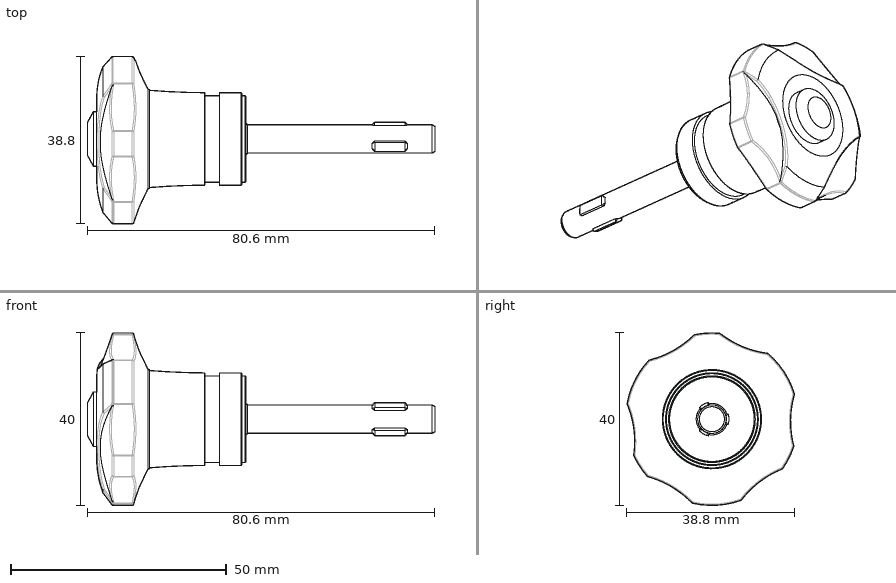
import cadquery as cq
import math


OVERALL_LENGTH = 80.6

DOME_START_X = 2.15

BUTTON_FLAT_RADIUS = 3.8
BUTTON_RADIUS = 6.35
BUTTON_CONE_LENGTH = 1.4
RECESS_RADIUS = 10.0
RECESS_DEPTH = 1.6
RECESS_FLOOR_X = DOME_START_X + RECESS_DEPTH

KNOB_RADIUS = 20.0
DOME_MID_X, DOME_MID_RADIUS = 2.7, 14.1
DOME_END_X, DOME_END_RADIUS = 3.6, 17.1
RIM_START_X = 5.8
RIM_END_X = 10.7
RIM_MIDDLE_X = (RIM_START_X + RIM_END_X) / 2
BACK_MID_X, BACK_MID_RADIUS = 12.2, 15.4
BACK_END_X = 14.1
BACK_END_RADIUS = 11.5
KNOB_EDGE_RADIUS = 0.4
RIM_ZONE_RADIUS = 17.9

LOBE_PAIRS = 3
GRIP_TURN = 3.3
WIDE_LOBE_HALF_ANGLE = 16.5
NARROW_LOBE_HALF_ANGLE = 8.5
SCALLOP_MID_RADIUS, SCALLOP_MID_ANGLE = 18.25, 26.0

DISH_WALL_REACH = 11.85
DISH_WALL_HALF_SPAN, DISH_WALL_END_REACH = 14.0, 14.9
DISH_INNER_X, DISH_INNER_RADIUS = 3.0, 12.0
DISH_MID_X, DISH_MID_RADIUS = 4.47, 16.0
DISH_RIM_X = 5.86

STEP_RING_LENGTH = 0.35
NECK_START_X = BACK_END_X + STEP_RING_LENGTH
NECK_START_RADIUS = 11.3
NECK_MID_RADIUS = 10.9
NECK_END_RADIUS = 10.75
NECK_END_X = 27.3
COLLAR_GROOVE_RADIUS = 10.05
COLLAR_START_X = 30.6
COLLAR_END_X = 35.8
COLLAR_EDGE = 0.2
END_DISC_X = 36.8
END_DISC_CHAMFER = 0.25

SHANK_RADIUS = 3.3
SHANK_FOOT = 0.35
TIP_CHAMFER_LENGTH = 0.7
TIP_CHAMFER_DEPTH = 0.4

DOG_COUNT = 3
DOG_START_X = 66.0
DOG_LENGTH = 8.15
DOG_HALF_WIDTH = 1.2
DOG_TOP_RADIUS = 3.95
DOG_END_BEVEL = 0.6
DOG_CORNER_CHAMFER = 0.5


def turned(profile):
    """Revolve an (X, radius) profile about the pin axis."""
    return profile.close().revolve(360, (0, 0, 0), (1, 0, 0))


def polar(radius, angle):
    """Point in the YZ plane, with the angle in degrees from +Y towards +Z."""
    return (radius * math.cos(math.radians(angle)), radius * math.sin(math.radians(angle)))


def dome_blank():
    """Turned front half of the knob: button recess, dome and bevelled rim."""
    return turned(
        cq.Workplane("XY")
        .moveTo(RECESS_FLOOR_X, 0)
        .lineTo(RECESS_FLOOR_X, BUTTON_RADIUS)
        .lineTo(DOME_START_X, RECESS_RADIUS)
        .threePointArc((DOME_MID_X, DOME_MID_RADIUS), (DOME_END_X, DOME_END_RADIUS))
        .lineTo(RIM_START_X, KNOB_RADIUS)
        .lineTo(RIM_MIDDLE_X, KNOB_RADIUS)
        .lineTo(RIM_MIDDLE_X, 0)
    )


def hollow_blank():
    """Turned full-depth knob whose front face is the hollow floor of the dishes."""
    return turned(
        cq.Workplane("XY")
        .moveTo(RECESS_FLOOR_X, 0)
        .lineTo(RECESS_FLOOR_X, BUTTON_RADIUS)
        .lineTo(DISH_INNER_X, DISH_INNER_RADIUS)
        .threePointArc((DISH_MID_X, DISH_MID_RADIUS), (DISH_RIM_X, KNOB_RADIUS))
        .lineTo(RIM_END_X, KNOB_RADIUS)
        .threePointArc((BACK_MID_X, BACK_MID_RADIUS), (BACK_END_X, BACK_END_RADIUS))
        .lineTo(BACK_END_X, 0)
    )


def grip_prism():
    """Prism with the lobed outline; each loop turn adds one narrow and one wide lobe."""
    pitch = 360 / LOBE_PAIRS
    first = 90 + GRIP_TURN
    outline = cq.Workplane("YZ").moveTo(*polar(KNOB_RADIUS, first - NARROW_LOBE_HALF_ANGLE))
    for i in range(LOBE_PAIRS):
        narrow = first + i * pitch
        wide = narrow + pitch / 2
        following = narrow + pitch
        outline = (
            outline
            .threePointArc(polar(KNOB_RADIUS, narrow), polar(KNOB_RADIUS, narrow + NARROW_LOBE_HALF_ANGLE))
            .threePointArc(
                polar(SCALLOP_MID_RADIUS, narrow + SCALLOP_MID_ANGLE),
                polar(KNOB_RADIUS, wide - WIDE_LOBE_HALF_ANGLE),
            )
            .threePointArc(polar(KNOB_RADIUS, wide), polar(KNOB_RADIUS, wide + WIDE_LOBE_HALF_ANGLE))
            .threePointArc(
                polar(SCALLOP_MID_RADIUS, following - SCALLOP_MID_ANGLE),
                polar(KNOB_RADIUS, following - NARROW_LOBE_HALF_ANGLE),
            )
        )
    return outline.close().extrude(BACK_END_X).edges("|X").fillet(KNOB_EDGE_RADIUS)


def radius_of(edge):
    centre = edge.Center()
    return math.hypot(centre.y, centre.z)


def is_rim_edge(edge):
    """True for the front and back outline edges of a lobed blank."""
    box = edge.BoundingBox()
    on_front = box.xmin > DOME_END_X + KNOB_EDGE_RADIUS and box.xmax < RIM_START_X + KNOB_EDGE_RADIUS
    on_back = box.xmin > RIM_END_X - KNOB_EDGE_RADIUS and box.xmax < BACK_MID_X
    return (on_front or on_back) and radius_of(edge) > RIM_ZONE_RADIUS


def is_wall_crest(edge):
    """True for the edges where the dish walls break out through the dome and bevel."""
    box = edge.BoundingBox()
    in_front = box.xmin > DOME_START_X and box.xmax < RIM_START_X + KNOB_EDGE_RADIUS
    on_wall = DISH_WALL_REACH - KNOB_EDGE_RADIUS < radius_of(edge) < KNOB_RADIUS - KNOB_EDGE_RADIUS
    return edge.geomType() != "CIRCLE" and in_front and on_wall and edge.Length() > 2 * KNOB_EDGE_RADIUS


def round_edges(body, wanted):
    chosen = [edge for edge in body.edges().vals() if wanted(edge)]
    return body.newObject(chosen).fillet(KNOB_EDGE_RADIUS)


def lobed(blank):
    return round_edges(blank.intersect(grip_prism()), is_rim_edge)


def dish_wall_prism():
    """Prism beyond the arched wall, lying on the +Y side."""
    far_reach = 2 * KNOB_RADIUS
    return (
        cq.Workplane("YZ")
        .moveTo(far_reach, -DISH_WALL_HALF_SPAN)
        .lineTo(DISH_WALL_END_REACH, -DISH_WALL_HALF_SPAN)
        .threePointArc((DISH_WALL_REACH, 0), (DISH_WALL_END_REACH, DISH_WALL_HALF_SPAN))
        .lineTo(far_reach, DISH_WALL_HALF_SPAN)
        .close()
        .extrude(BACK_END_X)
    )


def knob():
    """Dome cut back along the dish walls, set on the body that carries the hollow floor."""
    dome = lobed(dome_blank())
    for i in range(LOBE_PAIRS):
        lobe_angle = 90 + GRIP_TURN + i * 360 / LOBE_PAIRS
        dome = dome.cut(dish_wall_prism().rotate((0, 0, 0), (1, 0, 0), lobe_angle))
    return lobed(hollow_blank()).union(round_edges(dome, is_wall_crest))


def button():
    return turned(
        cq.Workplane("XY")
        .lineTo(0, BUTTON_FLAT_RADIUS)
        .lineTo(BUTTON_CONE_LENGTH, BUTTON_RADIUS)
        .lineTo(BACK_END_X, BUTTON_RADIUS)
        .lineTo(BACK_END_X, 0)
    )


def neck_and_collar():
    return turned(
        cq.Workplane("XY")
        .moveTo(BACK_END_X, 0)
        .lineTo(BACK_END_X, BACK_END_RADIUS)
        .lineTo(NECK_START_X, BACK_END_RADIUS)
        .lineTo(NECK_START_X, NECK_START_RADIUS)
        .threePointArc(
            ((NECK_START_X + NECK_END_X) / 2, NECK_MID_RADIUS),
            (NECK_END_X - COLLAR_EDGE, NECK_END_RADIUS),
        )
        .lineTo(NECK_END_X, NECK_END_RADIUS - COLLAR_EDGE)
        .lineTo(NECK_END_X, COLLAR_GROOVE_RADIUS)
        .lineTo(COLLAR_START_X, COLLAR_GROOVE_RADIUS)
        .lineTo(COLLAR_START_X, NECK_END_RADIUS)
        .lineTo(COLLAR_END_X - COLLAR_EDGE, NECK_END_RADIUS)
        .lineTo(COLLAR_END_X, NECK_END_RADIUS - COLLAR_EDGE)
        .lineTo(COLLAR_END_X, COLLAR_GROOVE_RADIUS)
        .lineTo(END_DISC_X - END_DISC_CHAMFER, COLLAR_GROOVE_RADIUS)
        .lineTo(END_DISC_X, COLLAR_GROOVE_RADIUS - END_DISC_CHAMFER)
        .lineTo(END_DISC_X, 0)
    )


def shank():
    return turned(
        cq.Workplane("XY")
        .moveTo(END_DISC_X, 0)
        .lineTo(END_DISC_X, SHANK_RADIUS + SHANK_FOOT)
        .lineTo(END_DISC_X + SHANK_FOOT, SHANK_RADIUS)
        .lineTo(OVERALL_LENGTH - TIP_CHAMFER_LENGTH, SHANK_RADIUS)
        .lineTo(OVERALL_LENGTH, SHANK_RADIUS - TIP_CHAMFER_DEPTH)
        .lineTo(OVERALL_LENGTH, 0)
    )


def locking_dog():
    """Bar along X standing out towards +Y, with a rounded top and bevelled ends."""
    bar = (
        cq.Workplane("XZ")
        .center(DOG_START_X + DOG_LENGTH / 2, 0)
        .rect(DOG_LENGTH, 2 * DOG_HALF_WIDTH)
        .extrude(-DOG_TOP_RADIUS)
        .edges("|Y")
        .chamfer(DOG_CORNER_CHAMFER)
    )
    envelope = (
        cq.Workplane("YZ", origin=(DOG_START_X, 0, 0))
        .circle(DOG_TOP_RADIUS)
        .extrude(DOG_LENGTH)
        .faces("<X or >X")
        .chamfer(DOG_END_BEVEL)
    )
    return bar.intersect(envelope)


def pin():
    spindle = button().union(neck_and_collar()).union(shank())
    dog = locking_dog()
    for i in range(DOG_COUNT):
        spindle = spindle.union(dog.rotate((0, 0, 0), (1, 0, 0), i * 360 / DOG_COUNT))
    return knob().union(spindle)


result = pin()